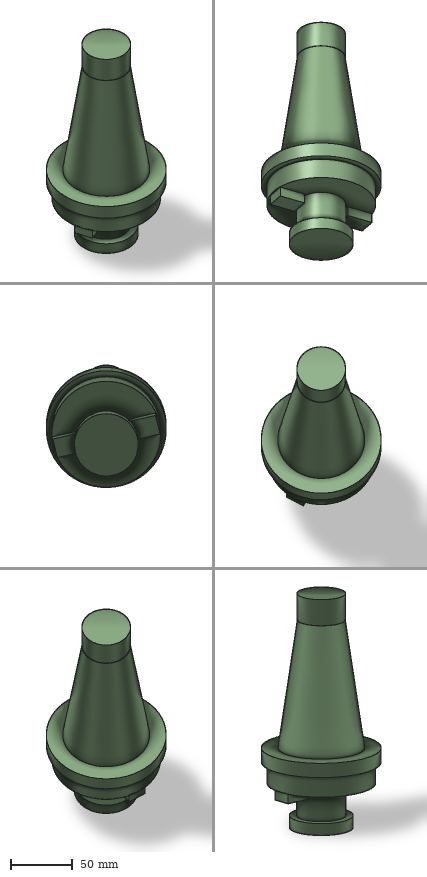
import cadquery as cq

collar_top = 10.0
key_bottom = 29.0
body_bottom = 37.2
body_top = 54.3
flange_bottom = 55.0
flange_top = 67.0
taper_top = 174.8
total_height = 196.8

collar_diameter = 52.0
arbor_diameter = 40.0
body_diameter = 88.4
relief_diameter = 88.0
flange_diameter = 97.5
taper_base_diameter = 70.7
taper_tip_diameter = 39.0
pilot_diameter = 39.5

key_width = 16.0
key_inner_span = 40.7
key_outer_span = 86.0


def cylinder(diameter, bottom, top):
    return cq.Workplane("XY").workplane(offset=bottom).circle(diameter / 2).extrude(top - bottom)


def taper(base_diameter, tip_diameter, bottom, top):
    return (
        cq.Workplane("XY")
        .workplane(offset=bottom)
        .circle(base_diameter / 2)
        .workplane(offset=top - bottom)
        .circle(tip_diameter / 2)
        .loft(ruled=True)
    )


def drive_key(side):
    length = (key_outer_span - key_inner_span) / 2
    center_y = side * (key_outer_span + key_inner_span) / 4
    return (
        cq.Workplane("XY")
        .workplane(offset=key_bottom)
        .center(0, center_y)
        .rect(key_width, length)
        .extrude(body_bottom - key_bottom)
    )


result = cylinder(collar_diameter, 0, collar_top)
result = result.union(cylinder(arbor_diameter, collar_top, body_bottom))
result = result.union(cylinder(body_diameter, body_bottom, body_top))
result = result.union(cylinder(relief_diameter, body_top, flange_bottom))
result = result.union(cylinder(flange_diameter, flange_bottom, flange_top))
result = result.union(taper(taper_base_diameter, taper_tip_diameter, flange_top, taper_top))
result = result.union(cylinder(pilot_diameter, taper_top, total_height))

for side in (-1, 1):
    result = result.union(drive_key(side))